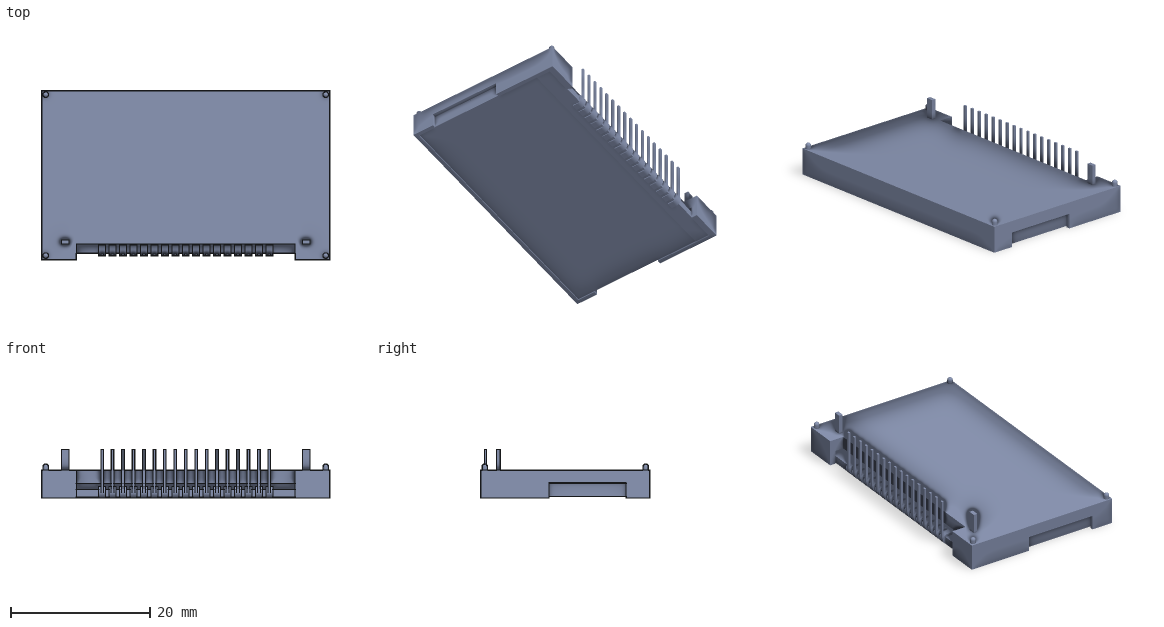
import cadquery as cq
import math

length = 41.4
depth = 24.3
housing_height = 4.0
overall_height = 7.0
side_wall = 0.6
pocket_height = 2.1
notch_width = 31.4
notch_depth = 2.25

window_front = -2.3
window_back = 8.75
window_height = 2.24

panel_bottom = 0.2
panel_setback = 1.0

ledge_bottom = 0.13
ledge_top = 1.25
ledge_reach = 1.31

terminal_count = 17
terminal_pitch = 1.5
clip_width = 1.0
clip_radius = 0.82
clip_reach = 1.7
clip_gap = 0.1
lead_width = 0.4
lead_thickness = 0.3

tab_spacing = 34.6
tab_width = 1.1
tab_thickness = 0.6
tab_setback = 2.55
peg_inset = 0.6
peg_radius = 0.4
peg_shank = 0.5
peg_height = 0.9

front = -depth / 2
back = depth / 2
notch_back = front + notch_depth
ledge_front = notch_back - ledge_reach
clip_front = notch_back - clip_reach
panel_front = notch_back + panel_setback
pocket_back = back - side_wall

pocket_length = length - 2 * side_wall


def box(width, y_front, y_back, z_bottom, z_top, x_center=0):
    """Block centred on x_center, filling the given Y and Z limits."""
    block = cq.Workplane("XY").box(width, y_back - y_front, z_top - z_bottom, centered=(True, False, False))
    return block.translate((x_center, y_front, z_bottom))


def make_tab(x_center):
    """Flat upright tab on the top face of the housing."""
    y_center = front + tab_setback
    return box(
        tab_width,
        y_center - tab_thickness / 2,
        y_center + tab_thickness / 2,
        housing_height,
        overall_height,
        x_center,
    )


def make_peg(x_center, y_center):
    """Round shank with a domed cap, standing on the top face of the housing."""
    dome = peg_height - peg_shank
    half_way = math.sqrt(0.5)
    profile = (
        cq.Workplane("XZ")
        .lineTo(peg_radius, 0)
        .lineTo(peg_radius, peg_shank)
        .threePointArc((peg_radius * half_way, peg_shank + dome * half_way), (0, peg_height))
        .close()
    )
    peg = profile.revolve(360, (0, 0, 0), (0, 1, 0))
    return peg.translate((x_center, y_center, housing_height))


def make_housing():
    body = box(length, front, back, 0, housing_height)
    body = body.cut(box(notch_width, front, notch_back, 0, housing_height))
    body = body.cut(box(pocket_length, ledge_front, pocket_back, 0, pocket_height))
    for side in (-1, 1):
        wall_center = side * (length - side_wall) / 2
        body = body.cut(box(side_wall, window_front, window_back, 0, window_height, wall_center))
        body = body.union(make_tab(side * tab_spacing / 2))
        for end in (-1, 1):
            body = body.union(make_peg(side * (length / 2 - peg_inset), end * (depth / 2 - peg_inset)))
    return body


def make_panel():
    return box(pocket_length, panel_front, pocket_back, panel_bottom, pocket_height)


def make_terminal(x_center):
    """Clip with a half-round nose, and the lead rising from the middle of the nose."""
    nose_center = clip_front + clip_radius
    clip_back = notch_back - clip_gap
    clip = (
        cq.Workplane("YZ")
        .moveTo(clip_back, 0)
        .lineTo(nose_center, 0)
        .tangentArcPoint((clip_front, clip_radius), relative=False)
        .tangentArcPoint((nose_center, 2 * clip_radius), relative=False)
        .lineTo(clip_back, 2 * clip_radius)
        .close()
        .extrude(clip_width / 2, both=True)
    )
    lead = box(lead_width, clip_front, clip_front + lead_thickness, clip_radius, overall_height)
    return clip.union(lead).translate((x_center, 0, 0))


def make_terminal_strip():
    strip = box(pocket_length, ledge_front, panel_front, ledge_bottom, ledge_top)
    first_x = -(terminal_count - 1) / 2 * terminal_pitch
    for i in range(terminal_count):
        strip = strip.union(make_terminal(first_x + i * terminal_pitch))
    return strip


housing = make_housing()
panel = make_panel()
terminal_strip = make_terminal_strip()

result = cq.Compound.makeCompound([body.solids().val() for body in (housing, panel, terminal_strip)])